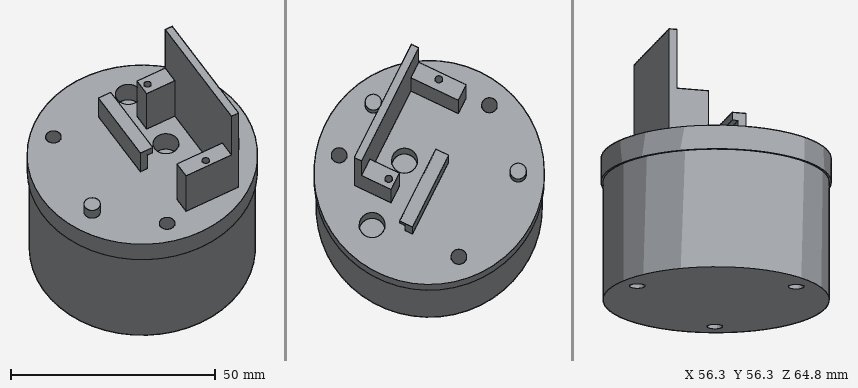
import cadquery as cq

body_diameter = 55.3
body_height = 30.0
cap_diameter = 56.3
cap_thickness = 6.0
cap_top = body_height + cap_thickness

screw_hole_count = 3
screw_hole_diameter = 3.8
screw_circle_radius = 22.4
first_screw_angle = -15.0

pin_diameter = 4.0
pin_height = 3.0
pin_x = 9.2
pin_y = 19.7

wall_left = -10.95
wall_width = 31.7
wall_right = wall_left + wall_width
wall_back = 15.0
wall_thickness = 2.0
wall_front = wall_back - wall_thickness
wall_height = 28.75

post_height = 13.75
left_post_width = 4.6
left_post_front = 5.0
right_post_width = 4.35
right_post_front = 0.1

pilot_diameter = 1.8
left_pilot_x = -8.8
right_pilot_x = 19.05

hole_row_y = 6.7
wide_hole_diameter = 6.3
wide_hole_depth = cap_thickness
wide_hole_xs = (-18.0, 0.0)

clip_left = -15.7
clip_length = 20.1
clip_height = 7.25
clip_thickness = 2.0
clip_front = -3.15
clip_depth = 3.5


def cylinder(diameter, height, bottom, x=0.0, y=0.0):
    """Upright cylinder standing on the level `bottom`."""
    return cq.Workplane("XY", origin=(x, y, bottom)).circle(diameter / 2).extrude(height)


def block_on_cap(left, right, front, back, height):
    """Box standing on the cap, given by its four side faces."""
    size = (right - left, back - front, height)
    return cq.Workplane("XY", origin=(left, front, cap_top)).box(*size, centered=False)


def base():
    return cylinder(body_diameter, body_height, 0).union(cylinder(cap_diameter, cap_thickness, body_height))


def pins():
    lower = cylinder(pin_diameter, pin_height, cap_top, pin_x, -pin_y)
    return lower.union(lower.mirror("XZ"))


def wall_with_posts():
    wall = block_on_cap(wall_left, wall_right, wall_front, wall_back, wall_height)
    left_post = block_on_cap(
        wall_left, wall_left + left_post_width, left_post_front, wall_front, post_height
    )
    right_post = block_on_cap(
        wall_right - right_post_width, wall_right, right_post_front, wall_front, post_height
    )
    return wall.union(left_post).union(right_post)


def clip():
    leg_back = clip_front + clip_thickness
    lip_back = clip_front + clip_depth
    top = cap_top + clip_height
    lip_bottom = top - clip_thickness
    profile = [
        (clip_front, cap_top),
        (leg_back, cap_top),
        (leg_back, lip_bottom),
        (lip_back, lip_bottom),
        (lip_back, top),
        (clip_front, top),
    ]
    return cq.Workplane("YZ", origin=(clip_left, 0, 0)).polyline(profile).close().extrude(clip_length)


def screw_holes():
    return (
        cq.Workplane("XY")
        .polarArray(screw_circle_radius, first_screw_angle, 360, screw_hole_count)
        .circle(screw_hole_diameter / 2)
        .extrude(cap_top)
    )


part = base().union(pins()).union(wall_with_posts()).union(clip())
part = part.cut(screw_holes())
for wide_hole_x in wide_hole_xs:
    part = part.cut(
        cylinder(wide_hole_diameter, wide_hole_depth, cap_top - wide_hole_depth, wide_hole_x, hole_row_y)
    )
for pilot_x in (left_pilot_x, right_pilot_x):
    part = part.cut(cylinder(pilot_diameter, post_height, cap_top, pilot_x, hole_row_y))

result = part